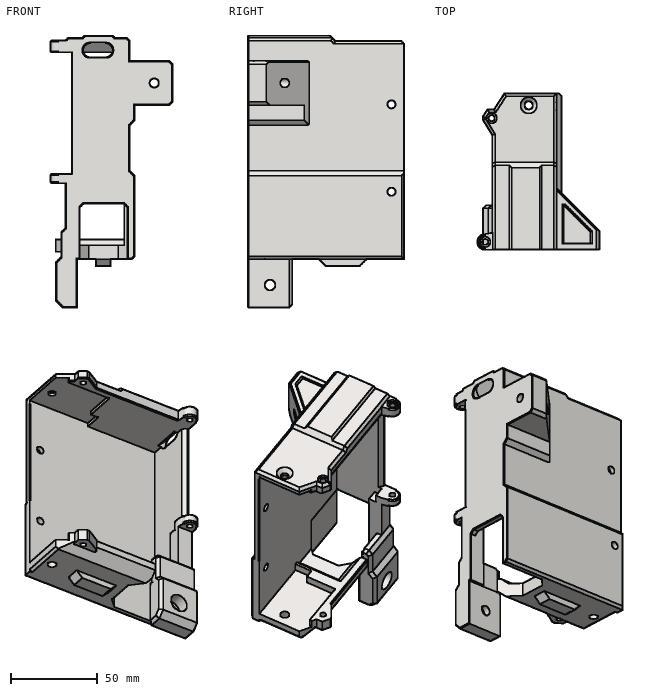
import cadquery as cq
DEPTH = 90.0
HEIGHT = 156.5
TAB_X = 70.5

LEFT_X = 8.6
WALL_IN_X = 42.4
WALL_OUT_X = 45.7
FLANGE_X = 48.5
FRONT_THICKNESS = 3.5
FRONT_EDGE_CHAMFER = 0.5
PLATE_EDGE_X = 12.4
PLATE_BEVEL = 2.3
BASE_Z = 27.9
FLOOR_Z = 39.3
CEILING_Z = 146.8
REAR_ROOF_Z = 153.4
SHOULDER_Z = 155.2
ROOF_CHAMFER = 1.7
INNER_EDGE_CHAMFER = 0.6
FLOOR_CHAMFER = 1.5
CORNER_CUT_X = 15.6
CORNER_CUT_Y = 79.2
CORNER_SLOPE = (DEPTH - CORNER_CUT_Y) / (CORNER_CUT_X - LEFT_X)

RIDGE_LEFT_X = 19.7
RIDGE_RIGHT_X = 35.8
RIDGE_DROP = HEIGHT - SHOULDER_Z
RIDGE_END_Y = 47.3

POCKET_LEFT_X = 12.7
POCKET_STEP_X = 31.8
POCKET_FRONT_Y = 54.8
POCKET_STEP_Y = 49.8
POCKET_OPEN_Y = 83.3
POCKET_FLOOR_Z = 34.3
POCKET_CEILING_Z = 149.1

CHANNEL_X = 16.5
CHANNEL_Y = 44.9
CHANNEL_Z = 36.0
CHANNEL_RUN = FLOOR_Z - CHANNEL_Z

WINDOW_LEFT_X = 17.0
WINDOW_RIGHT_X = 44.3
WINDOW_TOP_Z = 59.8
WINDOW_CHAMFER = 2.0
WINDOW_DEPTH = 35.4
WINDOW_CORNER = 5.2
WINDOW_INNER_X = 11.7

SLOT_X = 27.4
SLOT_Z = 148.0
SLOT_LENGTH = 18.0
SLOT_WIDTH = 8.9
SLOT_FLARE_ANGLE = 45.0

FLANGE_STEP = FLANGE_X - WALL_OUT_X
FLANGE_CHAMFER = 1.5
LOWER_FLANGE_TOP_Z = 75.9
UPPER_FLANGE_Z = 107.7
TAB_BOTTOM_Z = 116.5
TAB_TOP_Z = 142.0
TAB_CHAMFER = 2.0
TAB_SLOPE_CHAMFER = 0.8
TAB_END_Y = 10.6
TAB_HOLE_X = 59.8
TAB_HOLE_D = 5.2
TAB_POCKET_LEFT_X = 48.8
TAB_POCKET_RIGHT_X = 66.0
TAB_POCKET_FRONT_Y = 3.0
TAB_POCKET_SHORT_Y = 10.6
TAB_POCKET_FLAT = 1.7
TAB_POCKET_DEPTH = 1.0
TAB_POCKET_DRAFT = 45.0

LUG_HOLE_D = 3.5
LUG_BORE_D = 6.0
LUG_BORE_DEPTH = 1.5
LUG_CHAMFER = 0.8
FRONT_LUG_X = 4.5
FRONT_LUG_Y = 4.5
FRONT_LUG_R = 4.5
FRONT_LUG_TOP_Z = 153.7
LOWER_LUG_Z = 71.5
LOWER_LUG_TOP_Z = 77.0
LUG_DEPTH = 9.9
REAR_LUG_X = 8.3
REAR_LUG_Y = 75.7
REAR_LUG_END_Y = 66.0
REAR_LUG_OUT_X = 3.1
REAR_LUG_REAR_Y = 80.8
REAR_LUG_FLAT = 1.5
REAR_LUG_BOTTOM_Z = 32.1

BRACKET_DEPTH = 25.7
BRACKET_TOP_Z = 45.7
BRACKET_X = 6.3
BRACKET_FOOT_X = 3.3
BRACKET_FOOT_Z = 26.1
BRACKET_TOE = 3.9
BRACKET_RIGHT_X = 15.5
BRACKET_CHAMFER = 1.9
BRACKET_HOLE_Y = 12.8
BRACKET_HOLE_Z = 13.0
BRACKET_HOLE_D = 6.0
BRACKET_BORE_D = 11.0
BRACKET_BORE_DEPTH = 7.8

WALL_HOLE_D = 4.5
WALL_HOLE_Y = 82.6
WALL_HOLE_ZS = (66.7, 116.9)
SCREW_X = 29.6
SCREW_Y = 83.1
ROOF_HOLE_D = 4.5
ROOF_SINK_D = 9.4
FLOOR_HOLE_D = 5.2

FOOT_X = (26.3, 34.7)
FOOT_Y = (40.8, 68.2)
FOOT_HEIGHT = 3.9


def prism_x(yz_points, x_start, x_end):
    return cq.Workplane("YZ", origin=(x_start, 0, 0)).polyline(yz_points).close().extrude(x_end - x_start)


def prism_y(xz_points, y_start, y_end):
    return cq.Workplane("XZ", origin=(0, y_start, 0)).polyline(xz_points).close().extrude(y_start - y_end)


def prism_z(xy_points, z_start, z_end):
    return cq.Workplane("XY", origin=(0, 0, z_start)).polyline(xy_points).close().extrude(z_end - z_start)


def box(x, y, z):
    size = (x[1] - x[0], y[1] - y[0], z[1] - z[0])
    return cq.Workplane("XY").box(*size, centered=False).translate((x[0], y[0], z[0]))


def cylinder(plane, origin, diameter, length):
    return cq.Workplane(plane, origin=origin).circle(diameter / 2).extrude(length)


def plate_outline():
    """Plan of the roof and the floor, with the rear left corner cut off."""
    return [
        (LEFT_X, FRONT_EDGE_CHAMFER), (WALL_OUT_X, FRONT_EDGE_CHAMFER), (WALL_OUT_X, DEPTH),
        (CORNER_CUT_X, DEPTH), (LEFT_X, CORNER_CUT_Y),
    ]


def rear_lug_outline():
    """Free side of the rear lug, its rear flank parallel to the cut corner of the shell."""
    flank_y = REAR_LUG_Y + REAR_LUG_FLAT / 2
    rear_x = REAR_LUG_OUT_X + (REAR_LUG_REAR_Y - flank_y) / CORNER_SLOPE
    return [
        (LEFT_X, REAR_LUG_END_Y), (REAR_LUG_OUT_X, flank_y - REAR_LUG_FLAT),
        (REAR_LUG_OUT_X, flank_y), (rear_x, REAR_LUG_REAR_Y),
    ]


def roof_outline():
    """Plan of the roof, which runs out into the rear lug."""
    shell_sides = plate_outline()[:-1]
    meeting_x = LEFT_X + (REAR_LUG_REAR_Y - CORNER_CUT_Y) / CORNER_SLOPE
    return [*shell_sides, (meeting_x, REAR_LUG_REAR_Y), *reversed(rear_lug_outline())]


def rear_pocket(z_start, z_end):
    """Pocket open to the rear, with a step beside the wall."""
    past_rear = DEPTH + 1.5
    outline = [
        (POCKET_LEFT_X, POCKET_FRONT_Y), (POCKET_STEP_X, POCKET_FRONT_Y), (POCKET_STEP_X, POCKET_STEP_Y),
        (WALL_IN_X, POCKET_STEP_Y), (WALL_IN_X, past_rear), (0, past_rear),
        (0, POCKET_OPEN_Y), (POCKET_LEFT_X, POCKET_OPEN_Y),
    ]
    return prism_z(outline, z_start, z_end)


def ridge_section():
    """Raised ridge along the roof, from left to right."""
    return [
        (RIDGE_LEFT_X - RIDGE_DROP, SHOULDER_Z), (RIDGE_LEFT_X, HEIGHT),
        (RIDGE_RIGHT_X, HEIGHT), (RIDGE_RIGHT_X + RIDGE_DROP, SHOULDER_Z),
    ]


def roof():
    slope_run = HEIGHT - REAR_ROOF_Z
    slope_end_y = RIDGE_END_Y + slope_run
    shoulder_end_y = RIDGE_END_Y + RIDGE_DROP
    shell_side = [
        (0, CEILING_Z), (0, SHOULDER_Z), (shoulder_end_y, SHOULDER_Z), (slope_end_y, REAR_ROOF_Z),
        (DEPTH, REAR_ROOF_Z), (DEPTH, CEILING_Z),
    ]
    shell = prism_z(roof_outline(), CEILING_Z, HEIGHT).intersect(prism_x(shell_side, 0, TAB_X))
    upper = cq.selectors.BoxSelector((0, 0, POCKET_CEILING_Z), (TAB_X, DEPTH + 1.5, HEIGHT))
    upper_rear = cq.selectors.BoxSelector((0, slope_end_y + 1.5, POCKET_CEILING_Z), (TAB_X, DEPTH + 1.5, HEIGHT))
    sides = shell.edges("not (|X or |Z)").edges(upper)
    rear = shell.edges("|X").edges(upper_rear)
    shell = shell.newObject(sides.vals() + rear.vals()).chamfer(ROOF_CHAMFER)
    shell = shell.faces("<Z").edges("not (|X or >X)").chamfer(INNER_EDGE_CHAMFER)

    ridge_side = [
        (FRONT_EDGE_CHAMFER, SHOULDER_Z), (FRONT_EDGE_CHAMFER, HEIGHT),
        (RIDGE_END_Y, HEIGHT), (shoulder_end_y, SHOULDER_Z),
    ]
    ridge = prism_y(ridge_section(), 0, DEPTH).intersect(prism_x(ridge_side, 0, TAB_X))
    return shell.union(ridge).cut(rear_pocket(CEILING_Z, POCKET_CEILING_Z))


def floor():
    plate = prism_z(plate_outline(), BASE_Z, FLOOR_Z)
    plate = plate.faces("<Z").edges(">Y").chamfer(FLOOR_CHAMFER)
    plate = plate.faces(">Z").edges("<X").chamfer(INNER_EDGE_CHAMFER)
    bevel = POCKET_FLOOR_Z - BASE_Z
    bevel_outline = [(LEFT_X, BASE_Z), (LEFT_X + bevel, BASE_Z), (LEFT_X, POCKET_FLOOR_Z)]
    channel_section = [
        (CHANNEL_X, CHANNEL_Z), (CHANNEL_X - CHANNEL_RUN, FLOOR_Z),
        (WALL_IN_X, FLOOR_Z), (WALL_IN_X, CHANNEL_Z),
    ]
    channel_side = [(0, CHANNEL_Z), (CHANNEL_Y, CHANNEL_Z), (CHANNEL_Y + CHANNEL_RUN, FLOOR_Z), (0, FLOOR_Z)]
    channel = prism_y(channel_section, 0, DEPTH).intersect(prism_x(channel_side, 0, TAB_X))
    plate = plate.cut(prism_y(bevel_outline, 0, DEPTH)).cut(channel)
    return plate.cut(rear_pocket(POCKET_FLOOR_Z, FLOOR_Z))


def foot():
    y_start, y_end = FOOT_Y
    bottom_z = BASE_Z - FOOT_HEIGHT
    side = [
        (y_start, BASE_Z), (y_end, BASE_Z), (y_end - FOOT_HEIGHT, bottom_z), (y_start + FOOT_HEIGHT, bottom_z),
    ]
    return prism_x(side, *FOOT_X)


def wall():
    slab = box((WALL_IN_X, WALL_OUT_X), (FRONT_EDGE_CHAMFER, DEPTH), (BASE_Z, REAR_ROOF_Z - ROOF_CHAMFER))
    return slab.edges("|Z and <X and >Y").chamfer(INNER_EDGE_CHAMFER)


def lower_flange():
    section = [
        (WALL_IN_X, BASE_Z), (FLANGE_X - FLANGE_CHAMFER, BASE_Z),
        (FLANGE_X, BASE_Z + FLANGE_CHAMFER), (FLANGE_X, LOWER_FLANGE_TOP_Z),
        (WALL_OUT_X, LOWER_FLANGE_TOP_Z + FLANGE_STEP), (WALL_IN_X, LOWER_FLANGE_TOP_Z + FLANGE_STEP),
    ]
    return prism_y(section, FRONT_EDGE_CHAMFER, DEPTH).edges("|Z and >X and >Y").chamfer(FLANGE_CHAMFER)


def bracket_left_side():
    """Left side of the bracket, from its bottom edge up to where it meets the shell."""
    return [
        (BRACKET_FOOT_X + BRACKET_TOE, 0), (BRACKET_FOOT_X, BRACKET_TOE), (BRACKET_FOOT_X, BRACKET_FOOT_Z),
        (BRACKET_X, BRACKET_FOOT_Z + BRACKET_X - BRACKET_FOOT_X),
        (BRACKET_X, BRACKET_TOP_Z - LEFT_X + BRACKET_X), (LEFT_X, BRACKET_TOP_Z),
    ]


def bracket_outline():
    right_side = [
        (WINDOW_LEFT_X, BRACKET_TOP_Z), (WINDOW_LEFT_X, BASE_Z), (BRACKET_RIGHT_X, BASE_Z), (BRACKET_RIGHT_X, 0),
    ]
    return [*bracket_left_side(), *right_side]


def window_top():
    """Upper edge of the window with its two cut corners, from right to left."""
    side_top_z = WINDOW_TOP_Z - WINDOW_CHAMFER
    return [
        (WINDOW_RIGHT_X, side_top_z), (WINDOW_RIGHT_X - WINDOW_CHAMFER, WINDOW_TOP_Z),
        (WINDOW_LEFT_X + WINDOW_CHAMFER, WINDOW_TOP_Z), (WINDOW_LEFT_X, side_top_z),
    ]


def front_plate():
    eave_z = SHOULDER_Z - ROOF_CHAMFER
    outline = [
        (LEFT_X, eave_z), (LEFT_X + ROOF_CHAMFER, SHOULDER_Z), *ridge_section(),
        (WALL_OUT_X - ROOF_CHAMFER, SHOULDER_Z), (WALL_OUT_X, eave_z), (WALL_OUT_X, TAB_TOP_Z),
        (TAB_X - TAB_CHAMFER, TAB_TOP_Z), (TAB_X, TAB_TOP_Z - TAB_CHAMFER),
        (TAB_X, TAB_BOTTOM_Z + TAB_CHAMFER), (TAB_X - TAB_CHAMFER, TAB_BOTTOM_Z),
        (FLANGE_X, TAB_BOTTOM_Z), (FLANGE_X, UPPER_FLANGE_Z), (WALL_OUT_X, UPPER_FLANGE_Z - FLANGE_STEP),
        (WALL_OUT_X, LOWER_FLANGE_TOP_Z + FLANGE_STEP), (FLANGE_X, LOWER_FLANGE_TOP_Z),
        (FLANGE_X, BASE_Z + FLANGE_CHAMFER), (FLANGE_X - FLANGE_CHAMFER, BASE_Z),
        (WINDOW_RIGHT_X, BASE_Z), *window_top(), (WINDOW_LEFT_X, BASE_Z),
        (BRACKET_RIGHT_X, BASE_Z), (BRACKET_RIGHT_X, 0), *bracket_left_side(),
    ]
    plate = prism_y(outline, 0, FRONT_THICKNESS).faces("<Y").edges().chamfer(FRONT_EDGE_CHAMFER)
    opening = box((0, PLATE_EDGE_X), (0, FRONT_THICKNESS), (LOWER_LUG_Z, CEILING_Z))
    bevel_outline = [
        (PLATE_EDGE_X, FRONT_THICKNESS - PLATE_BEVEL), (PLATE_EDGE_X + PLATE_BEVEL, FRONT_THICKNESS),
        (PLATE_EDGE_X, FRONT_THICKNESS),
    ]
    return plate.cut(opening).cut(prism_z(bevel_outline, LOWER_LUG_TOP_Z, CEILING_Z))


def upper_flange_and_tab():
    rib = [
        (WALL_IN_X, UPPER_FLANGE_Z - FLANGE_STEP), (WALL_OUT_X, UPPER_FLANGE_Z - FLANGE_STEP),
        (FLANGE_X, UPPER_FLANGE_Z), (FLANGE_X, TAB_BOTTOM_Z), (TAB_X - TAB_CHAMFER, TAB_BOTTOM_Z),
        (TAB_X, TAB_BOTTOM_Z + TAB_CHAMFER), (TAB_X, TAB_TOP_Z - TAB_CHAMFER),
        (TAB_X - TAB_CHAMFER, TAB_TOP_Z), (WALL_IN_X, TAB_TOP_Z),
    ]
    slope_y = TAB_END_Y + TAB_X - WALL_IN_X
    plan = [
        (WALL_IN_X, FRONT_EDGE_CHAMFER), (TAB_X, FRONT_EDGE_CHAMFER), (TAB_X, TAB_END_Y), (WALL_IN_X, slope_y),
    ]
    tab = prism_y(rib, FRONT_EDGE_CHAMFER, DEPTH).intersect(prism_z(plan, 0, HEIGHT))
    tab = tab.edges("not (|X or |Y or |Z)").edges("(>Z or <Z)").chamfer(TAB_SLOPE_CHAMFER)
    return tab.cut(tab_pocket())


def tab_pocket():
    """Shallow pocket with sloped walls in the top of the tab."""
    left_x, right_x = TAB_POCKET_LEFT_X, TAB_POCKET_RIGHT_X
    rear_y = TAB_POCKET_SHORT_Y + right_x - left_x - TAB_POCKET_FLAT
    plan = [
        (left_x, TAB_POCKET_FRONT_Y), (right_x, TAB_POCKET_FRONT_Y), (right_x, TAB_POCKET_SHORT_Y),
        (left_x + TAB_POCKET_FLAT, rear_y), (left_x, rear_y),
    ]
    mouth = cq.Workplane("XY", origin=(0, 0, TAB_TOP_Z)).polyline(plan).close()
    return mouth.extrude(-TAB_POCKET_DEPTH, taper=TAB_POCKET_DRAFT)


def front_lug(z_start, z_end):
    """Round-ended lug whose arm is level with the front face and widens towards the shell."""
    boss = cylinder("XY", (FRONT_LUG_X, FRONT_LUG_Y, z_start), 2 * FRONT_LUG_R, z_end - z_start)
    arm = [
        (FRONT_LUG_X, 0), (PLATE_EDGE_X, 0), (PLATE_EDGE_X, LUG_DEPTH), (LEFT_X, LUG_DEPTH),
        (FRONT_LUG_X, FRONT_LUG_Y + FRONT_LUG_R),
    ]
    return boss.edges("%CIRCLE").chamfer(LUG_CHAMFER).union(prism_z(arm, z_start, z_end))


def lower_rear_lug():
    outline = [*rear_lug_outline(), (POCKET_LEFT_X, REAR_LUG_REAR_Y), (POCKET_LEFT_X, REAR_LUG_END_Y)]
    return prism_z(outline, REAR_LUG_BOTTOM_Z, FLOOR_Z)


def bracket():
    block = prism_y(bracket_outline(), FRONT_EDGE_CHAMFER, BRACKET_DEPTH)
    block = block.faces(">Y").edges("not >X").chamfer(BRACKET_CHAMFER)
    column = box((LEFT_X, WINDOW_LEFT_X), (FRONT_EDGE_CHAMFER, LUG_DEPTH), (BASE_Z, LOWER_LUG_Z))
    return block.union(column)


def window():
    """Opening through the front and the floor, wider behind the front column."""
    side_top_z = WINDOW_TOP_Z - WINDOW_CHAMFER
    section = [(0, BASE_Z), (WINDOW_RIGHT_X, BASE_Z), *window_top(), (0, side_top_z)]
    floor_left_x = WINDOW_LEFT_X + WINDOW_CORNER
    plan = [
        (WINDOW_LEFT_X, 0), (WINDOW_RIGHT_X, 0), (WINDOW_RIGHT_X, WINDOW_DEPTH - WINDOW_CORNER),
        (WINDOW_RIGHT_X - WINDOW_CORNER, WINDOW_DEPTH), (floor_left_x, WINDOW_DEPTH),
        (WINDOW_INNER_X, WINDOW_DEPTH - floor_left_x + WINDOW_INNER_X),
        (WINDOW_INNER_X, LUG_DEPTH), (WINDOW_LEFT_X, LUG_DEPTH),
    ]
    return prism_y(section, 0, DEPTH).intersect(prism_z(plan, 0, HEIGHT))


def slot():
    """Round-ended slot with a flared mouth and a ceiling that falls towards the rear."""
    flare = FRONT_EDGE_CHAMFER
    face = cq.Workplane("XZ").center(SLOT_X, SLOT_Z)
    throat = face.slot2D(SLOT_LENGTH - 2 * flare, SLOT_WIDTH - 2 * flare).extrude(-DEPTH)
    top_z = SLOT_Z + SLOT_WIDTH / 2
    bottom_z = SLOT_Z - SLOT_WIDTH / 2
    side = [(0, bottom_z), (0, top_z), (SLOT_WIDTH, bottom_z)]
    mouth = face.slot2D(SLOT_LENGTH, SLOT_WIDTH).extrude(-flare, taper=SLOT_FLARE_ANGLE)
    return throat.intersect(prism_x(side, 0, TAB_X)).union(mouth)


def wall_holes():
    axes = [(WALL_IN_X, WALL_HOLE_Y, z) for z in WALL_HOLE_ZS]
    return [cylinder("YZ", axis, WALL_HOLE_D, FLANGE_X - WALL_IN_X) for axis in axes]


def tab_hole():
    middle_z = (TAB_BOTTOM_Z + TAB_TOP_Z) / 2
    return cylinder("XZ", (TAB_HOLE_X, 0, middle_z), TAB_HOLE_D, -DEPTH)


def bracket_hole():
    axis = (0, BRACKET_HOLE_Y, BRACKET_HOLE_Z)
    bore = cylinder("YZ", axis, BRACKET_BORE_D, BRACKET_FOOT_X + BRACKET_BORE_DEPTH)
    return cylinder("YZ", axis, BRACKET_HOLE_D, BRACKET_RIGHT_X).union(bore)


def roof_hole():
    """Countersunk screw hole."""
    sink_depth = (ROOF_SINK_D - ROOF_HOLE_D) / 2
    sink_bottom = cq.Vector(SCREW_X, SCREW_Y, REAR_ROOF_Z - sink_depth)
    sink = cq.Solid.makeCone(ROOF_HOLE_D / 2, ROOF_SINK_D / 2, sink_depth, pnt=sink_bottom)
    hole = cylinder("XY", (SCREW_X, SCREW_Y, CEILING_Z), ROOF_HOLE_D, REAR_ROOF_Z - CEILING_Z)
    return hole.union(cq.Workplane(sink))


def floor_hole():
    return cylinder("XY", (SCREW_X, SCREW_Y, BASE_Z), FLOOR_HOLE_D, FLOOR_Z - BASE_Z)


def lug_hole(x, y, bottom_z, top_z):
    """Hole through a pair of lugs, with a counterbore in the upper one."""
    hole = cylinder("XY", (x, y, bottom_z), LUG_HOLE_D, top_z - bottom_z)
    return hole.union(cylinder("XY", (x, y, top_z - LUG_BORE_DEPTH), LUG_BORE_D, LUG_BORE_DEPTH))


result = front_plate()
for piece in (
    roof(), floor(), wall(), foot(), lower_flange(), upper_flange_and_tab(), bracket(),
    front_lug(CEILING_Z, FRONT_LUG_TOP_Z), front_lug(LOWER_LUG_Z, LOWER_LUG_TOP_Z),
    lower_rear_lug(),
):
    result = result.union(piece)
for cutter in (
    window(), slot(), *wall_holes(), tab_hole(), bracket_hole(), roof_hole(), floor_hole(),
    lug_hole(FRONT_LUG_X, FRONT_LUG_Y, LOWER_LUG_Z, FRONT_LUG_TOP_Z),
    lug_hole(REAR_LUG_X, REAR_LUG_Y, BASE_Z, REAR_ROOF_Z),
):
    result = result.cut(cutter)